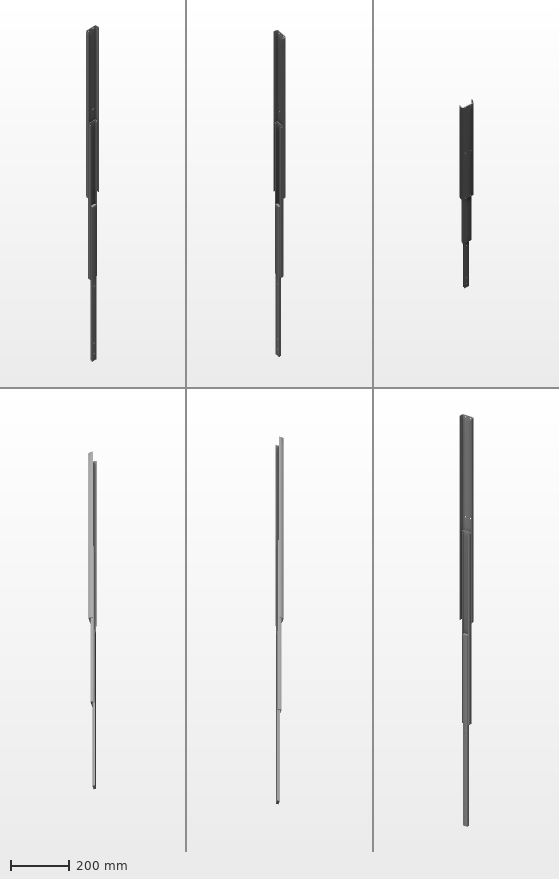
import cadquery as cq
import math

total_length = 1600.0
overall_width = 49.77
overall_depth = 19.75

outer_length = 800.0
outer_wall = 2.0
outer_depth = 16.9
outer_half = overall_width / 2
outer_web_half = 18.6
outer_bend_radius = 4.4
outer_bend_angle = math.radians(62)

outer_hole_y = 10.5
outer_hole_diameter = 5.5
outer_hole_end_distance = 7.25
outer_hole_heights = (outer_hole_end_distance, outer_length / 2, outer_length - outer_hole_end_distance)

middle_length = 750.0
middle_bottom = 400.0
middle_wall = 1.5
middle_half = 16.8
middle_back = 6.0
middle_hook_start = 13.5
middle_hook_radius = 5.0
middle_hook_angle = math.radians(100)

inner_length = 750.0
inner_half = 9.6
inner_back = 10.5
inner_groove_start = 11.5
inner_groove_end = 16.0
inner_groove_depth = 1.5
inner_hole_diameter = 5.25
inner_hole_heights = (34.0, 85.0, 362.0)


def arc_point(center, radius, angle):
    """Point on an arc, with the angle measured from +Y toward +X."""
    return (center[0] + radius * math.sin(angle), center[1] + radius * math.cos(angle))


def extrude_symmetric(half_profile, length, bottom):
    """Extrude a half profile upward and join it with its mirror image across Y = 0."""
    half = half_profile.extrude(length)
    return half.union(half.mirror("XZ")).translate((0, 0, bottom))


def holes_along_x(points, diameter):
    """Cylinders along X through the full depth, at (y, z) points."""
    return cq.Workplane("YZ").pushPoints(points).circle(diameter / 2).extrude(overall_depth)


def make_outer_rail():
    race_tilt = math.pi / 2 - outer_bend_angle
    bend_center = (outer_bend_radius, outer_web_half)
    bend_end = arc_point(bend_center, outer_bend_radius, -race_tilt)
    race_radius = (outer_half - bend_end[1]) / (1 - math.cos(race_tilt))
    race_center = (bend_end[0] + race_radius * math.sin(race_tilt), outer_half - race_radius)
    lip_angle = math.asin((outer_depth - race_center[0]) / race_radius)
    bend_middle_angle = -race_tilt - outer_bend_angle / 2

    bend_inside = outer_bend_radius - outer_wall
    race_inside = race_radius - outer_wall
    profile = (
        cq.Workplane("XY")
        .lineTo(0, outer_web_half)
        .threePointArc(arc_point(bend_center, outer_bend_radius, bend_middle_angle), bend_end)
        .threePointArc(arc_point(race_center, race_radius, 0),
                       arc_point(race_center, race_radius, lip_angle))
        .lineTo(*arc_point(race_center, race_inside, lip_angle))
        .threePointArc(arc_point(race_center, race_inside, 0),
                       arc_point(race_center, race_inside, -race_tilt))
        .threePointArc(arc_point(bend_center, bend_inside, bend_middle_angle), (outer_wall, outer_web_half))
        .lineTo(outer_wall, 0)
        .close()
    )
    bottom = total_length - outer_length
    rail = extrude_symmetric(profile, outer_length, bottom)
    hole_points = []
    for height in outer_hole_heights:
        hole_points.append((-outer_hole_y, bottom + height))
        hole_points.append((outer_hole_y, bottom + height))
    return rail.cut(holes_along_x(hole_points, outer_hole_diameter))


def make_middle_rail():
    hook_center = (middle_hook_start, middle_half - middle_hook_radius)
    hook_inside = middle_hook_radius - middle_wall
    half_angle = middle_hook_angle / 2
    profile = (
        cq.Workplane("XY")
        .moveTo(middle_back, 0)
        .lineTo(middle_back, middle_half)
        .lineTo(middle_hook_start, middle_half)
        .threePointArc(arc_point(hook_center, middle_hook_radius, half_angle),
                       arc_point(hook_center, middle_hook_radius, middle_hook_angle))
        .lineTo(*arc_point(hook_center, hook_inside, middle_hook_angle))
        .threePointArc(arc_point(hook_center, hook_inside, half_angle),
                       arc_point(hook_center, hook_inside, 0))
        .lineTo(middle_back + middle_wall, middle_half - middle_wall)
        .lineTo(middle_back + middle_wall, 0)
        .close()
    )
    return extrude_symmetric(profile, middle_length, middle_bottom)


def make_inner_rail():
    groove_middle = (inner_groove_start + inner_groove_end) / 2
    profile = (
        cq.Workplane("XY")
        .moveTo(inner_back, 0)
        .lineTo(inner_back, inner_half)
        .lineTo(inner_groove_start, inner_half)
        .threePointArc((groove_middle, inner_half - inner_groove_depth), (inner_groove_end, inner_half))
        .lineTo(overall_depth, inner_half)
        .lineTo(overall_depth, 0)
        .close()
    )
    bar = extrude_symmetric(profile, inner_length, 0)
    hole_points = [(0, height) for height in inner_hole_heights]
    return bar.cut(holes_along_x(hole_points, inner_hole_diameter))


outer_rail = make_outer_rail()
middle_rail = make_middle_rail()
inner_rail = make_inner_rail()
result = cq.Compound.makeCompound([outer_rail.val(), middle_rail.val(), inner_rail.val()])